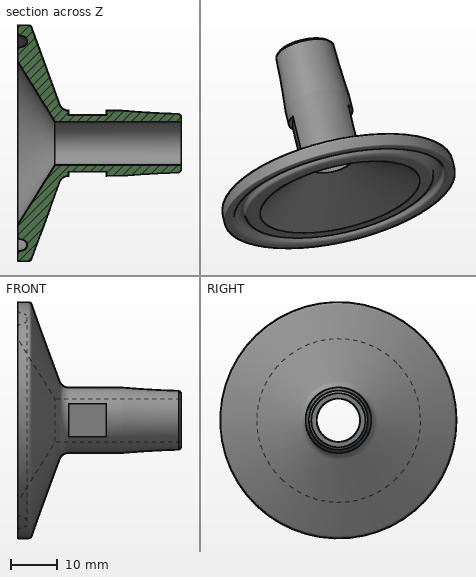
import cadquery as cq
import math

length = 35.0
flange_radius = 25.25
rim_end = 2.25
front_edge_radius = 0.25
back_edge_radius = 0.8
back_slope = math.radians(70)

neck_radius = 7.0
neck_fillet = 2.0
taper_start = 22.2
tail_radius = 6.3
taper_sag = 0.09
tail_chamfer = 0.55

bore_radius = 4.6
funnel_radius = 17.45
funnel_depth = 8.0

groove_center = 21.75
groove_radius = 1.1
flank_length = 0.5
lip_radius = 0.8
flank_angle = math.radians(78)

flat_start = 10.9
flat_length = 8.1
flat_distance = 6.05


def arc_point(center, radius, angle):
    return (center[0] + radius * math.cos(angle), center[1] + radius * math.sin(angle))


def revolve(profile):
    return profile.close().revolve(360, (0, 0, 0), (1, 0, 0))


def make_body():
    normal = math.pi / 2 - back_slope
    front_center = (front_edge_radius, flange_radius - front_edge_radius)
    rim_center = (rim_end, flange_radius - back_edge_radius)
    slope_start = arc_point(rim_center, back_edge_radius, normal)

    center_height = neck_radius + neck_fillet
    slope_offset = back_edge_radius + neck_fillet
    center_x = rim_center[0] + (
        slope_offset + (rim_center[1] - center_height) * math.sin(normal)
    ) / math.cos(normal)
    fillet_center = (center_x, center_height)

    taper_end = length - tail_chamfer
    taper_middle = (
        (taper_start + taper_end) / 2,
        (neck_radius + tail_radius) / 2 - taper_sag,
    )
    return revolve(
        cq.Workplane("XY")
        .lineTo(0, front_center[1])
        .threePointArc(
            arc_point(front_center, front_edge_radius, math.radians(135)),
            (front_edge_radius, flange_radius),
        )
        .lineTo(rim_end, flange_radius)
        .threePointArc(
            arc_point(rim_center, back_edge_radius, (normal + math.pi / 2) / 2),
            slope_start,
        )
        .lineTo(*arc_point(fillet_center, neck_fillet, normal + math.pi))
        .threePointArc(
            arc_point(fillet_center, neck_fillet, math.pi + (normal + math.pi / 2) / 2),
            (fillet_center[0], neck_radius),
        )
        .lineTo(taper_start, neck_radius)
        .threePointArc(taper_middle, (taper_end, tail_radius))
        .lineTo(length, tail_radius - tail_chamfer)
        .lineTo(length, 0)
    )


def make_bore():
    return revolve(
        cq.Workplane("XY")
        .lineTo(0, funnel_radius)
        .lineTo(funnel_depth, bore_radius)
        .lineTo(length, bore_radius)
        .lineTo(length, 0)
    )


def make_groove():
    """Round-bottomed ring groove blended into the face by a rounded lip on each side."""
    half_width = (groove_radius + lip_radius) * math.sin(flank_angle)
    half_width += flank_length * math.cos(flank_angle)
    depth = (groove_radius + lip_radius) * (1 - math.cos(flank_angle))
    depth += flank_length * math.sin(flank_angle)
    bottom_center = (depth - groove_radius, groove_center)
    inner_lip = (lip_radius, groove_center - half_width)
    outer_lip = (lip_radius, groove_center + half_width)
    lip_end = math.pi - flank_angle
    lip_middle = math.pi - flank_angle / 2
    return revolve(
        cq.Workplane("XY")
        .moveTo(0, inner_lip[1])
        .threePointArc(
            arc_point(inner_lip, lip_radius, lip_middle),
            arc_point(inner_lip, lip_radius, lip_end),
        )
        .lineTo(*arc_point(bottom_center, groove_radius, -flank_angle))
        .threePointArc(
            (depth, groove_center),
            arc_point(bottom_center, groove_radius, flank_angle),
        )
        .lineTo(*arc_point(outer_lip, lip_radius, -lip_end))
        .threePointArc(
            arc_point(outer_lip, lip_radius, -lip_middle),
            (0, outer_lip[1]),
        )
    )


def make_flat_cutter(side):
    width = 2 * neck_radius
    cut_depth = neck_radius
    return cq.Workplane("XY").box(flat_length, cut_depth, width).translate(
        (flat_start + flat_length / 2, side * (flat_distance + cut_depth / 2), 0)
    )


result = make_body().cut(make_bore()).cut(make_groove())
for side in (-1, 1):
    result = result.cut(make_flat_cutter(side))